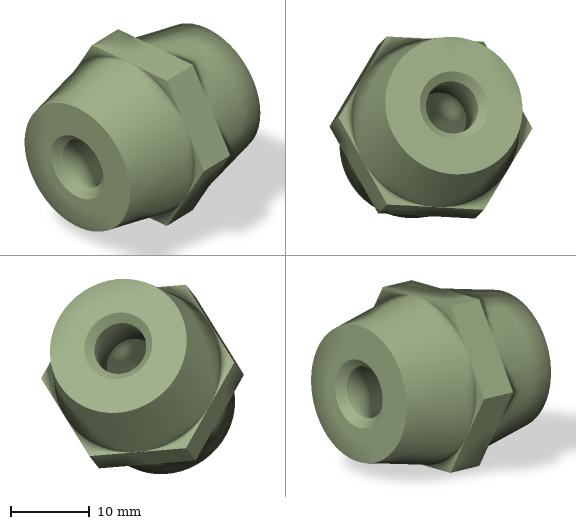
import cadquery as cq
import math

across_corners = 25.4
total_length = 25.0
hex_width = 5.0
end_radius = 9.0
insert_radius = 6.4
insert_length = 10.0
bore_radius = 3.4
bore_depth = 7.5
countersink_radius = 4.47
countersink_angle = 90.0
drill_point_angle = 118.0

half_length = total_length / 2
half_hex_width = hex_width / 2
base_radius = across_corners / 2 * math.cos(math.radians(30))


def cone_depth(radial_change, included_angle):
    """Axial length over which a cone changes its radius by radial_change."""
    return radial_change / math.tan(math.radians(included_angle / 2))


countersink_depth = cone_depth(countersink_radius - bore_radius, countersink_angle)
drill_point_depth = cone_depth(bore_radius, drill_point_angle)


def front_to_back(shape):
    """The same shape turned half a turn about Z, from the -Y end to the +Y end."""
    return shape.rotate((0, 0, 0), (0, 0, 1), 180)


def revolve_about_y(points):
    """Solid of revolution from (radius, y) points that start and end on the Y axis."""
    return cq.Workplane("XY").polyline(points).close().revolve(360, (0, 0), (0, 1))


def make_hexagon():
    """Hexagonal collar with two corners on the X axis."""
    return cq.Workplane("XZ").polygon(6, across_corners).extrude(half_hex_width, both=True)


def make_barrel():
    """Round body that tapers from the collar to both ends."""
    return revolve_about_y([
        (0, -half_length),
        (end_radius, -half_length),
        (base_radius, -half_hex_width),
        (base_radius, half_hex_width),
        (end_radius, half_length),
        (0, half_length),
    ])


def make_insert_blank():
    """Solid blank of the -Y insert, which is also the space it fills in the housing."""
    inner_end = insert_length - half_length
    return cq.Workplane("XZ", origin=(0, inner_end, 0)).circle(insert_radius).extrude(insert_length)


def make_bore():
    """Blind bore of the -Y insert with its countersink and drill point."""
    bore_bottom = bore_depth - half_length
    return revolve_about_y([
        (0, -half_length),
        (countersink_radius, -half_length),
        (bore_radius, countersink_depth - half_length),
        (bore_radius, bore_bottom),
        (0, bore_bottom + drill_point_depth),
    ])


def make_housing():
    """Insulator housing with a socket for an insert in each end."""
    blank = make_insert_blank()
    return make_hexagon().union(make_barrel()).cut(blank).cut(front_to_back(blank))


def make_insert():
    """Insert in the -Y end."""
    return make_insert_blank().cut(make_bore())


housing = make_housing()
front_insert = make_insert()
inserts = [front_insert, front_to_back(front_insert)]

result = cq.Compound.makeCompound([housing.val(), *[insert.val() for insert in inserts]])